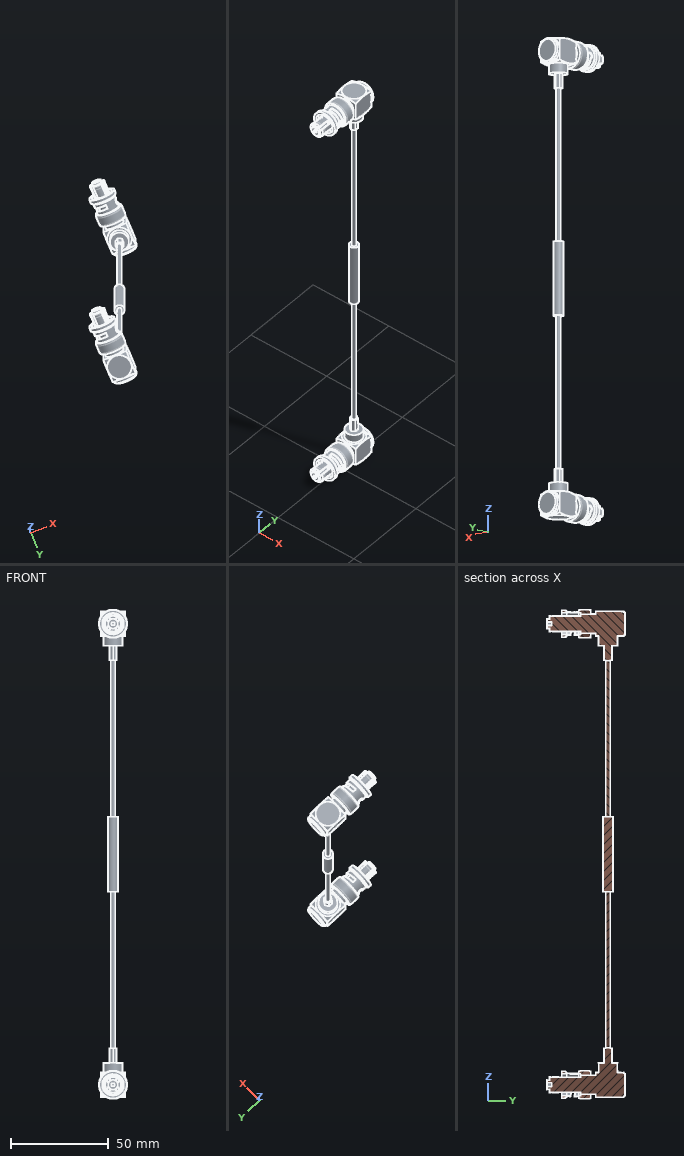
import cadquery as cq
import math


total_length = 250.0
nut_ring_radius = 7.2
plug_axis_height = total_length / 2 - nut_ring_radius

sleeve_length = 38.5
sleeve_diameter = 5.2
sleeve_radius = sleeve_diameter / 2
cable_radius = 1.2

block_size = 12.8
half_block = block_size / 2
block_face_radius = 6.2
block_corner_drop = 1.0
rear_cap_radius = half_block
rear_cap_end = 8.8
rear_cap_chamfer = 0.8

collar_diameter = 9.8
collar_radius = collar_diameter / 2
collar_end = 11.2
ferrule_across_flats = 3.8
ferrule_end = 18.8

neck_radius = 5.0
neck_end = 14.0
tube_radius = 4.0
lip_diameter = 8.2
lip_radius = lip_diameter / 2
lip_start = 28.2
lip_peak = 29.5
tube_end = 30.0
tube_slot_width = 1.8
tube_slot_start = 23.5
nose_radius = 2.5
nose_end = 31.2
socket_radius = 0.88
socket_depth = 2.5

nut_rear = 8.8
nut_ring_end = 15.0
nut_ring_chamfer_length = 1.0
nut_ring_chamfer_height = 0.2
nut_barrel_radius = 6.0
nut_flange_radius = 7.0
nut_bore_radius = 5.5
nut_flange_start = 21.0
nut_flange_chamfer = 0.8
nut_front = 23.8

bayonet_hole_radius = 1.8
bayonet_hole_place = 17.5
bayonet_slot_width = 2.0
bayonet_slot_advance = 0.8
bayonet_slot_turn = 95.0


def disc_y(radius, start, end):
    """Cylinder on the plug axis between two distances forward of the cable axis."""
    return cq.Workplane("XZ", origin=(0, -start, 0)).circle(radius).extrude(end - start)


def turned_y(outline):
    """Solid of revolution about the plug axis from (radius, distance forward) points."""
    points = [(radius, -forward) for radius, forward in outline]
    return cq.Workplane("XY").polyline(points).close().revolve(360, (0, 0), (0, 1))


def elbow_block():
    """Square block whose top and bottom corners are turned down to a round flat."""
    block = cq.Workplane("XY").box(block_size, block_size, block_size)
    corner_radius = half_block * math.sqrt(2)
    shoulder = half_block - block_corner_drop
    turned = (
        cq.Workplane("XZ")
        .polyline([
            (0, -half_block),
            (block_face_radius, -half_block),
            (corner_radius, -shoulder),
            (corner_radius, shoulder),
            (block_face_radius, half_block),
            (0, half_block),
        ])
        .close()
        .revolve(360, (0, 0), (0, 1))
    )
    return block.intersect(turned)


def rear_cap():
    """Round cap behind the block, with a chamfered rim."""
    return disc_y(rear_cap_radius, -rear_cap_end, 0).faces(">Y").chamfer(rear_cap_chamfer)


def crimp_ferrule():
    """Hexagonal ferrule along the cable axis with two flats square to X."""
    across_corners = ferrule_across_flats / math.cos(math.radians(30))
    ferrule = cq.Workplane("XY").polygon(6, across_corners).extrude(-ferrule_end)
    return ferrule.rotate((0, 0, 0), (0, 0, 1), 30)


def tube_slots():
    """Four lengthwise slits that part the contact tube into fingers."""
    length = tube_end - tube_slot_start
    depth = lip_radius - nose_radius
    slit = cq.Workplane("XY").box(depth, length, tube_slot_width).translate(
        (nose_radius + depth / 2, -tube_slot_start - length / 2, 0)
    )
    slits = cq.Workplane("XY")
    for angle in (45, 135, 225, 315):
        slits = slits.add(slit.rotate((0, 0, 0), (0, 1, 0), angle))
    return slits.combine()


def contact_tube():
    """Slotted contact tube that flares to a lip at its open end."""
    tube = turned_y([
        (0, 0),
        (tube_radius, 0),
        (tube_radius, lip_start),
        (lip_radius, lip_peak),
        (lip_radius, tube_end),
        (0, tube_end),
    ])
    return tube.cut(tube_slots())


def make_plug():
    """Right-angle plug with its axes crossing at the origin and the cable entry below."""
    plug = elbow_block().union(rear_cap())
    plug = plug.union(cq.Workplane("XY").circle(collar_radius).extrude(-collar_end))
    plug = plug.union(crimp_ferrule())
    plug = plug.union(disc_y(neck_radius, 0, neck_end))
    plug = plug.union(contact_tube())
    plug = plug.union(disc_y(nose_radius, 0, nose_end))
    return plug.cut(disc_y(socket_radius, nose_end - socket_depth, nose_end))


def bayonet_hole():
    """Round hole through the nut wall on the -X side."""
    return (
        cq.Workplane("YZ", origin=(0, -bayonet_hole_place, 0))
        .circle(bayonet_hole_radius)
        .extrude(-nut_ring_radius)
    )


def bayonet_slot():
    """Helical slot through the nut wall, from the -X hole round past the -Z side."""
    pitch = bayonet_slot_advance * 360 / bayonet_slot_turn
    path = cq.Wire.makeHelix(pitch, bayonet_slot_advance, nut_barrel_radius)
    slot_depth = 2 * (nut_barrel_radius - tube_radius)
    slot = (
        cq.Workplane("XZ", origin=(nut_barrel_radius, 0, 0))
        .rect(slot_depth, bayonet_slot_width)
        .sweep(cq.Workplane(obj=path), isFrenet=True)
    )
    slot = slot.rotate((0, 0, 0), (0, 0, 1), 180).rotate((0, 0, 0), (1, 0, 0), 90)
    return slot.translate((0, -bayonet_hole_place, 0))


def make_nut():
    """Bayonet coupling nut on the plug axis."""
    nut = turned_y([
        (neck_radius, nut_rear),
        (nut_ring_radius - nut_ring_chamfer_height, nut_rear),
        (nut_ring_radius, nut_rear + nut_ring_chamfer_length),
        (nut_ring_radius, nut_ring_end - nut_ring_chamfer_length),
        (nut_ring_radius - nut_ring_chamfer_height, nut_ring_end),
        (nut_barrel_radius, nut_ring_end),
        (nut_barrel_radius, nut_flange_start),
        (nut_flange_radius - nut_flange_chamfer, nut_flange_start),
        (nut_flange_radius, nut_flange_start + nut_flange_chamfer),
        (nut_flange_radius, nut_front),
        (nut_bore_radius, nut_front),
        (nut_bore_radius, neck_end),
        (neck_radius, neck_end),
    ])
    for angle in (0, 180):
        nut = nut.cut(bayonet_hole().rotate((0, 0, 0), (0, 1, 0), angle))
        nut = nut.cut(bayonet_slot().rotate((0, 0, 0), (0, 1, 0), angle))
    return nut


def make_cable():
    """Upper cable, from the sleeve end to the ferrule end."""
    start = sleeve_length / 2
    end = plug_axis_height - ferrule_end
    return cq.Workplane("XY", origin=(0, 0, start)).circle(cable_radius).extrude(end - start)


def make_sleeve():
    """Middle sleeve, centred on the origin."""
    bottom = -sleeve_length / 2
    return cq.Workplane("XY", origin=(0, 0, bottom)).circle(sleeve_radius).extrude(sleeve_length)


sleeve = make_sleeve()
cables = []
plugs = []
nuts = []
for turn in (0, 180):
    cable = make_cable()
    plug = make_plug().translate((0, 0, plug_axis_height))
    nut = make_nut().translate((0, 0, plug_axis_height))
    cables.append(cable.rotate((0, 0, 0), (0, 1, 0), turn).val())
    plugs.append(plug.rotate((0, 0, 0), (0, 1, 0), turn).val())
    nuts.append(nut.rotate((0, 0, 0), (0, 1, 0), turn).val())

result = cq.Compound.makeCompound([sleeve.val(), *cables, *plugs, *nuts])